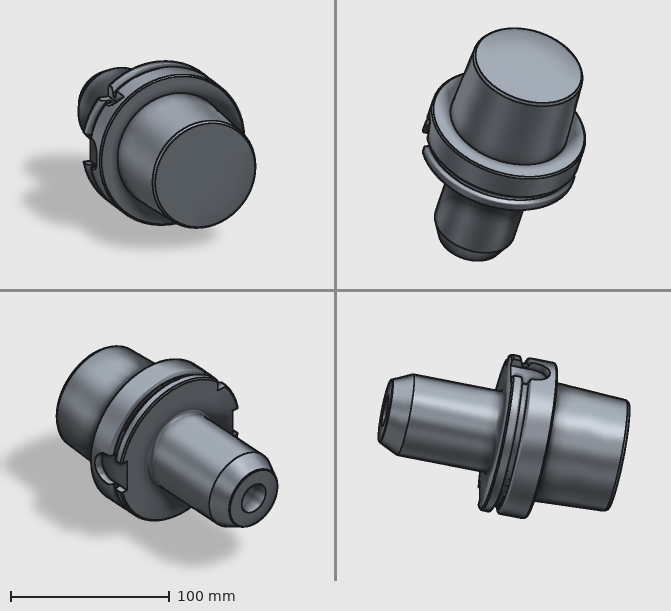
import cadquery as cq
import math


nose_x = -100.0
body_radius = 26.0
nose_cone_start_x = -87.2
nose_cone_angle = 25.0
nose_chamfer = 0.5
bore_radius = 10.0
bore_depth = 50.0

relief_depth = 0.1
relief_ramp = 1.2
relief_land = 0.3
relief_fillet = 3.0

flange_radius = 50.0
flange_width = 29.0
flange_chamfer = 1.0

groove_center_x = -20.0
groove_floor_radius = 45.9
groove_floor_width = 3.9
groove_bend_radius = 47.2
groove_wall_angle = 26.0
groove_fillet = 1.0

shank_length = 50.0
shank_radius = 38.05
shank_taper = 1 / 20
shank_chamfer_length = 1.8
shank_chamfer_height = 1.2

cutter_radius = 10.0
cutout_center_x = -15.0
slot_floor_y = 44.0
front_slot_width = 20.0
rear_slot_width = 22.0
notch_floor = 31.3

cut_overrun = 1.0

flange_front_x = -flange_width
past_flange = flange_front_x - cut_overrun
cutout_end_x = cutout_center_x + cutter_radius


def make_turned_body():
    """Nose, body, flange and taper shank as one revolved outline."""
    cone_tip_x = nose_x + nose_chamfer
    cone_drop = (nose_cone_start_x - cone_tip_x) * math.tan(math.radians(nose_cone_angle))
    cone_tip_radius = body_radius - cone_drop

    relief_radius = body_radius - relief_depth
    relief_face_x = flange_front_x + relief_depth
    fillet_start_x = relief_face_x - relief_fillet
    fillet_end_radius = relief_radius + relief_fillet
    fillet_mid = relief_fillet * math.sqrt(0.5)
    relief_start_x = fillet_start_x - relief_land - relief_ramp

    shank_chamfer_x = shank_length - shank_chamfer_length
    shank_chamfer_radius = shank_radius - shank_chamfer_x * shank_taper

    outline = (
        cq.Workplane("XY")
        .moveTo(nose_x, 0)
        .lineTo(nose_x, cone_tip_radius - nose_chamfer)
        .lineTo(cone_tip_x, cone_tip_radius)
        .lineTo(nose_cone_start_x, body_radius)
        .lineTo(relief_start_x, body_radius)
        .lineTo(relief_start_x + relief_ramp, relief_radius)
        .lineTo(fillet_start_x, relief_radius)
        .threePointArc(
            (fillet_start_x + fillet_mid, fillet_end_radius - fillet_mid),
            (relief_face_x, fillet_end_radius),
        )
        .lineTo(flange_front_x, fillet_end_radius + relief_ramp)
        .lineTo(flange_front_x, flange_radius - flange_chamfer)
        .lineTo(flange_front_x + flange_chamfer, flange_radius)
        .lineTo(-flange_chamfer, flange_radius)
        .lineTo(0, flange_radius - flange_chamfer)
        .lineTo(0, shank_radius)
        .lineTo(shank_chamfer_x, shank_chamfer_radius)
        .lineTo(shank_length, shank_chamfer_radius - shank_chamfer_height)
        .lineTo(shank_length, 0)
        .close()
    )
    return outline.revolve(360, (0, 0, 0), (1, 0, 0))


def cut_groove(body):
    """Cut a straight-bottomed, flared ring into the flange rim; round its floor and rim edges."""
    ring_radius = flange_radius + cut_overrun
    floor_half = groove_floor_width / 2
    flare = (ring_radius - groove_bend_radius) * math.tan(math.radians(groove_wall_angle))
    outer_half = floor_half + flare
    ring = (
        cq.Workplane("XY")
        .moveTo(groove_center_x - floor_half, groove_floor_radius)
        .lineTo(groove_center_x + floor_half, groove_floor_radius)
        .lineTo(groove_center_x + floor_half, groove_bend_radius)
        .lineTo(groove_center_x + outer_half, ring_radius)
        .lineTo(groove_center_x - outer_half, ring_radius)
        .lineTo(groove_center_x - floor_half, groove_bend_radius)
        .close()
        .revolve(360, (0, 0, 0), (1, 0, 0))
    )
    axis_margin = 1.0
    near_groove = cq.selectors.BoxSelector(
        (groove_center_x - outer_half, -axis_margin, -axis_margin),
        (groove_center_x + outer_half, axis_margin, axis_margin),
    )
    smallest = cq.selectors.RadiusNthSelector(0)
    largest = cq.selectors.RadiusNthSelector(-1)
    body = body.cut(ring)
    body = body.edges("%CIRCLE").edges(near_groove).edges(largest).fillet(groove_fillet)
    return body.edges("%CIRCLE").edges(near_groove).edges(smallest).fillet(groove_fillet)


def make_slot(width, side):
    """Flat-floored drive slot with rounded end, open to the front; side is -1 for -Y, +1 for +Y."""
    half_width = width / 2
    corner_offset = cutter_radius * math.sqrt(0.5)
    corner_z = half_width - cutter_radius
    slot = (
        cq.Workplane("XZ", origin=(0, side * slot_floor_y, 0))
        .moveTo(past_flange, -half_width)
        .lineTo(cutout_center_x, -half_width)
        .threePointArc(
            (cutout_center_x + corner_offset, -corner_z - corner_offset),
            (cutout_end_x, -corner_z),
        )
    )
    if corner_z > 0:
        slot = slot.lineTo(cutout_end_x, corner_z)
    slot = (
        slot.threePointArc(
            (cutout_center_x + corner_offset, corner_z + corner_offset),
            (cutout_center_x, half_width),
        )
        .lineTo(past_flange, half_width)
        .close()
    )
    return slot.extrude(-side * flange_radius)


def make_notch():
    """Corner notch at -Y, +Z whose floor curves up at the end; open to the front."""
    corner_offset = cutter_radius * math.sqrt(0.5)
    arc_center_z = notch_floor + cutter_radius
    return (
        cq.Workplane("XZ", origin=(0, -notch_floor, 0))
        .moveTo(past_flange, notch_floor)
        .lineTo(cutout_center_x, notch_floor)
        .threePointArc(
            (cutout_center_x + corner_offset, arc_center_z - corner_offset),
            (cutout_end_x, arc_center_z),
        )
        .lineTo(past_flange, arc_center_z)
        .close()
        .extrude(flange_radius)
    )


def make_bore():
    """Blind tool bore in the nose."""
    return cq.Workplane("YZ", origin=(nose_x, 0, 0)).circle(bore_radius).extrude(bore_depth)


result = (
    cut_groove(make_turned_body())
    .cut(make_slot(front_slot_width, -1))
    .cut(make_slot(rear_slot_width, 1))
    .cut(make_notch())
    .cut(make_bore())
)